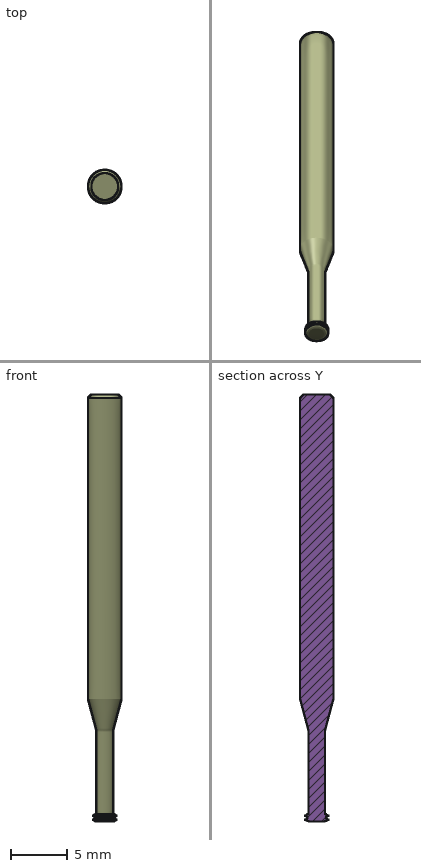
import cadquery as cq
import math

overall_length = 38.0
neck_end = 8.0

shank_radius = 3.0 / 2
shank_chamfer = 0.3
neck_radius = 1.52 / 2
taper_half_angle = math.radians(15)
blend_radius = 1.0

root_radius = 1.67 / 2
crest_radius = 2.07 / 2
pitch = 0.35
tooth_count = 2
crest_width = 0.03
flank_half_angle = math.radians(30)
head_length = tooth_count * pitch
tip_radius = 0.67

flank_length = (crest_radius - root_radius) * math.tan(flank_half_angle)
tooth_length = 2 * flank_length + crest_width
root_land = pitch - tooth_length
first_tooth_base = root_land / 2


def blend_point(angle):
    """Point (radius, Z) on the blend arc where its tangent leans outward by angle."""
    radius = neck_radius + blend_radius * (1 - math.cos(angle))
    height = neck_end + blend_radius * math.sin(angle)
    return radius, height


taper_start_radius, taper_start = blend_point(taper_half_angle)
shank_start = taper_start + (shank_radius - taper_start_radius) / math.tan(taper_half_angle)


def add_tooth(outline, tooth_base):
    """Trace one ring tooth upward from its lower root: flank, crest flat, flank."""
    return (
        outline.lineTo(root_radius, tooth_base)
        .lineTo(crest_radius, tooth_base + flank_length)
        .lineTo(crest_radius, tooth_base + flank_length + crest_width)
        .lineTo(root_radius, tooth_base + tooth_length)
    )


def make_profile():
    """Half section of the tool, from the tip up to the shank end."""
    outline = cq.Workplane("XZ").lineTo(tip_radius, 0)
    for index in range(tooth_count):
        outline = add_tooth(outline, first_tooth_base + index * pitch)
    return (
        outline.lineTo(root_radius, head_length)
        .lineTo(neck_radius, head_length)
        .lineTo(neck_radius, neck_end)
        .threePointArc(blend_point(taper_half_angle / 2), (taper_start_radius, taper_start))
        .lineTo(shank_radius, shank_start)
        .lineTo(shank_radius, overall_length - shank_chamfer)
        .lineTo(shank_radius - shank_chamfer, overall_length)
        .lineTo(0, overall_length)
        .close()
    )


result = make_profile().revolve(360, (0, 0), (0, 1))